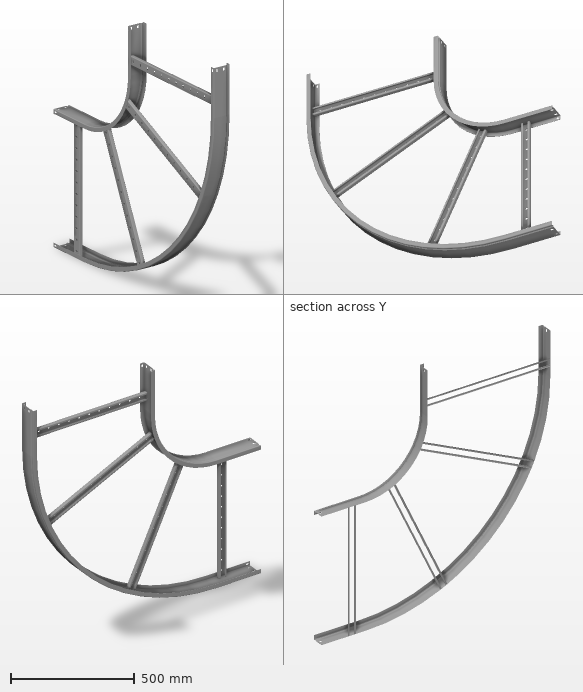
import cadquery as cq
import math

SIZE = 1117.0
RAIL_HEIGHT = 80.0
STRAIGHT = 217.0
OUTER_RADIUS = SIZE - STRAIGHT
INNER_RADIUS = 300.0
CENTRE_X = STRAIGHT
CENTRE_Z = SIZE - STRAIGHT
Y_LOW = -RAIL_HEIGHT / 2

SHEET = 1.3
BEND_RADIUS = 3.0
INNER_BEND = BEND_RADIUS - SHEET

FLANGE = 20.0
GROOVE_CENTRE = 11.0
GROOVE_WIDTH = 11.0
GROOVE_FLOOR = 3.0
GROOVE_DEPTH = 3.0

SLOT_LENGTH = 13.0
SLOT_WIDTH = 8.0
RAIL_SLOT_INSET = 13.0
WEB_SLOT_HEIGHTS = (17.0, 50.0)

RUNG_WIDTH = 39.0
RUNG_HEIGHT = 18.0
RUNG_LIFT = 8.0
RUNG_LIP = 9.0
RUNG_SLOT_COUNT = 12
RUNG_SLOT_SPAN = 545.0
RUNG_SLOT_PITCH = RUNG_SLOT_SPAN / (RUNG_SLOT_COUNT - 1)
RUNG_MID_RADIUS = (INNER_RADIUS + OUTER_RADIUS) / 2
END_RUNG_OFFSET = 68.0
BEND_RUNG_ANGLE = 25


def rail_path(radius):
    """Straight, quarter bend, straight, at the given bend radius."""
    diagonal = radius * math.sqrt(0.5)
    return (
        cq.Workplane("XZ")
        .moveTo(0, CENTRE_Z - radius)
        .lineTo(CENTRE_X, CENTRE_Z - radius)
        .threePointArc(
            (CENTRE_X + diagonal, CENTRE_Z - diagonal),
            (CENTRE_X + radius, CENTRE_Z),
        )
        .lineTo(CENTRE_X + radius, SIZE)
    )


def swap_ends(shape):
    """Mirror image of a shape at the other end of the bend."""
    return shape.mirror((1, 0, 1), (CENTRE_X, 0, CENTRE_Z))


def rounded_outline(points, radii):
    """Closed wire through the points; radii maps a corner's index to its rounding radius."""
    corners = [cq.Vector(*point) for point in points]
    face = cq.Face.makeFromWires(cq.Wire.makePolygon(corners, close=True))
    for index, radius in radii.items():
        vertex = min(face.Vertices(), key=lambda v: (v.Center() - corners[index]).Length)
        face = face.fillet2D(radius, [vertex])
    return face.outerWire()


def slot_cutter(plane, depth):
    """Obround cutter reaching the given depth to both sides of the plane."""
    return plane.slot2D(SLOT_LENGTH, SLOT_WIDTH).extrude(depth, both=True)


def web_skin(depth):
    """Grooved side of the web at the given depth, as (height, depth) points going up."""
    groove = RAIL_HEIGHT - GROOVE_CENTRE
    return [
        (depth, depth),
        (groove - GROOVE_WIDTH / 2, depth),
        (groove - GROOVE_FLOOR / 2, depth + GROOVE_DEPTH),
        (groove + GROOVE_FLOOR / 2, depth + GROOVE_DEPTH),
        (groove + GROOVE_WIDTH / 2, depth),
        (RAIL_HEIGHT - depth, depth),
    ]


def rail_slots(web_z, flange_z):
    """Cutters for the slots at the starting end: two in the web, one in the -Y flange."""
    web = cq.Workplane("XY", origin=(RAIL_SLOT_INSET, Y_LOW, web_z))
    web = web.pushPoints([(0, height) for height in WEB_SLOT_HEIGHTS])
    flange = cq.Workplane("XZ", origin=(RAIL_SLOT_INSET, Y_LOW, flange_z))
    return [slot_cutter(web, 2 * SHEET), slot_cutter(flange, 2 * SHEET)]


def rail(web_radius, flange_side):
    """Channel rail; its flanges point away from the bend centre for +1, toward it for -1."""
    web_z = CENTRE_Z - web_radius
    outside = [(0, FLANGE), *web_skin(0), (RAIL_HEIGHT, FLANGE)]
    inside = [(SHEET, FLANGE), *web_skin(SHEET), (RAIL_HEIGHT - SHEET, FLANGE)]
    section = outside + inside[::-1]
    points = [(0, Y_LOW + height, web_z - flange_side * depth) for height, depth in section]
    low_bend, high_bend = 1, len(outside) - 2
    radii = {low_bend: BEND_RADIUS, high_bend: BEND_RADIUS}
    radii.update({-1 - low_bend: INNER_BEND, -1 - high_bend: INNER_BEND})
    outline = rounded_outline(points, radii)
    body = cq.Workplane(outline).toPending().sweep(rail_path(web_radius))
    for cutter in rail_slots(web_z, web_z - flange_side * FLANGE / 2):
        body = body.cut(cutter).cut(swap_ends(cutter))
    return body


def bend_region(radius):
    """Block filling the inside of the bend out to a web at the given radius."""
    return rail_path(radius).lineTo(0, SIZE).close().extrude(RAIL_HEIGHT, both=True)


def rung_bar():
    """Slotted lipped channel running along -Z from the bend centre, longer than needed."""
    half = RUNG_WIDTH / 2
    lip_x = half - RUNG_LIP
    low = Y_LOW + RUNG_LIFT
    high = low + RUNG_HEIGHT
    outside = [(lip_x, high), (half, high), (half, low), (-half, low), (-half, high), (-lip_x, high)]
    inner_half = half - SHEET
    inner_low, inner_high = low + SHEET, high - SHEET
    inside = [
        (lip_x, inner_high),
        (inner_half, inner_high),
        (inner_half, inner_low),
        (-inner_half, inner_low),
        (-inner_half, inner_high),
        (-lip_x, inner_high),
    ]
    bends = range(1, 5)
    radii = {index: BEND_RADIUS for index in bends}
    radii.update({-1 - index: INNER_BEND for index in bends})
    outline = rounded_outline([(CENTRE_X + x, y, CENTRE_Z) for x, y in outside + inside[::-1]], radii)
    bar = cq.Workplane(cq.Solid.extrudeLinear(outline, [], cq.Vector(0, 0, -SIZE)))
    slots = (
        cq.Workplane("XZ", origin=(CENTRE_X, low, CENTRE_Z - RUNG_MID_RADIUS))
        .rarray(11, RUNG_SLOT_PITCH, 1, RUNG_SLOT_COUNT)
    )
    return bar.cut(slot_cutter(slots, 2 * SHEET))


ladder_region = bend_region(OUTER_RADIUS).cut(bend_region(INNER_RADIUS))
bar = rung_bar()
end_bar = bar.translate((-END_RUNG_OFFSET, 0, 0))
bend_axis = ((CENTRE_X, 0, CENTRE_Z), (CENTRE_X, -1, CENTRE_Z))
bend_bar = bar.rotate(*bend_axis, BEND_RUNG_ANGLE)
rungs = []
for placed_bar in (end_bar, bend_bar):
    rung = placed_bar.intersect(ladder_region)
    rungs += [rung, swap_ends(rung)]

inner_rail = rail(INNER_RADIUS, 1)
outer_rail = rail(OUTER_RADIUS, -1)
for rung in rungs:
    inner_rail = inner_rail.cut(rung)
    outer_rail = outer_rail.cut(rung)

result = cq.Compound.makeCompound(
    [inner_rail.val(), outer_rail.val(), *(rung.val() for rung in rungs)]
)